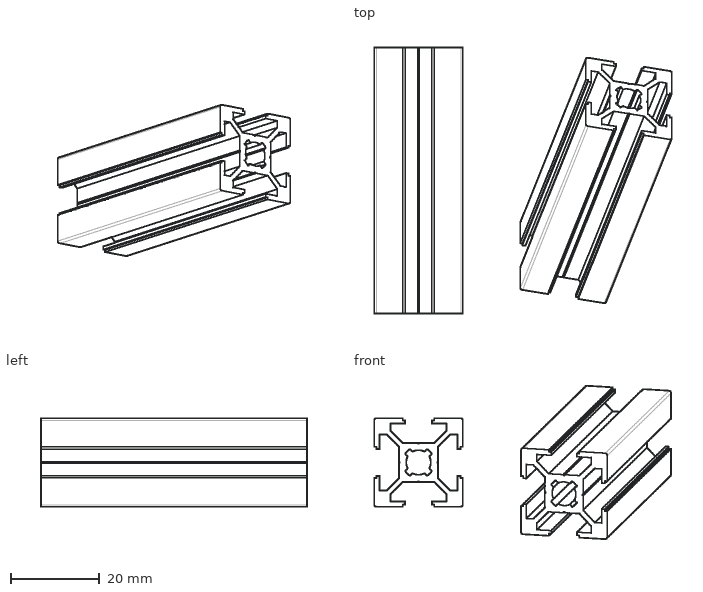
import cadquery as cq
import math

SIDE = 20.0
LENGTH = 60.0
CORNER_RADIUS = 0.5

MOUTH_WIDTH = 6.0
MOUTH_STEP_WIDTH = 7.0
MOUTH_STEP_DEPTH = 0.5
LIP_THICKNESS = 1.25
SLOT_WIDTH = 12.55
CORE_SIDE = 8.85
WEB_THICKNESS = 1.25
CENTRE_GROOVE_WIDTH = 0.4
CENTRE_GROOVE_DEPTH = 0.2

BORE_DIAMETER = 5.5
NOTCH_FLOOR_DIAMETER = 7.1
NOTCH_WIDTH = 1.5

SIDE_ANGLES = (0, 90, 180, 270)
NOTCH_ANGLES = (45, 135)


def make_bar():
    bar = cq.Workplane("XY").box(SIDE, LENGTH, SIDE)
    return bar.edges("|Y").fillet(CORNER_RADIUS)


def slot_half_outline():
    """Right half of the upper slot, from its outer face down to the groove bottom."""
    face = SIDE / 2
    step = face - MOUTH_STEP_DEPTH
    lip = face - LIP_THICKNESS
    floor = CORE_SIDE / 2
    flank_offset = WEB_THICKNESS / math.sqrt(2)
    return [
        (MOUTH_STEP_WIDTH / 2, face),
        (MOUTH_STEP_WIDTH / 2, step),
        (MOUTH_WIDTH / 2, step),
        (MOUTH_WIDTH / 2, lip),
        (SLOT_WIDTH / 2, lip),
        (SLOT_WIDTH / 2, SLOT_WIDTH / 2 + flank_offset),
        (floor - flank_offset, floor),
        (CENTRE_GROOVE_WIDTH / 2, floor),
        (0, floor - CENTRE_GROOVE_DEPTH),
    ]


def make_slot():
    right = slot_half_outline()
    left = [(-x, z) for x, z in reversed(right[:-1])]
    return cq.Workplane("XZ").polyline(right + left).close().extrude(LENGTH / 2, both=True)


def make_cylinder(diameter):
    return cq.Workplane("XZ").circle(diameter / 2).extrude(LENGTH / 2, both=True)


def make_bore():
    bore = make_cylinder(BORE_DIAMETER)
    notch_slab = cq.Workplane("XY").box(SIDE, LENGTH, NOTCH_WIDTH)
    notch_pair = notch_slab.intersect(make_cylinder(NOTCH_FLOOR_DIAMETER))
    for angle in NOTCH_ANGLES:
        bore = bore.union(notch_pair.rotate((0, 0, 0), (0, 1, 0), angle))
    return bore


def make_extrusion():
    extrusion = make_bar()
    slot = make_slot()
    for angle in SIDE_ANGLES:
        extrusion = extrusion.cut(slot.rotate((0, 0, 0), (0, 1, 0), angle))
    return extrusion.cut(make_bore())


result = make_extrusion()